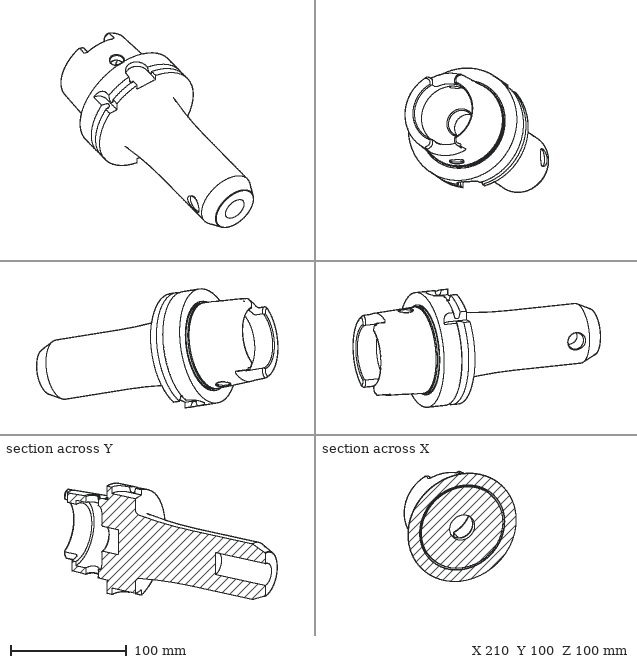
import cadquery as cq
import math


total_length = 210.0
flange_start = 50.0
flange_end = 79.0
neck_start = 83.0
neck_end = 133.8
nose_cone_start = 197.0

shank_front_radius = 35.5
shank_rear_radius = 37.8
flange_radius = 50.0
neck_radius = 29.6
nose_radius = 26.0
nose_tip_radius = 20.2
nose_tip_chamfer = 0.5
shank_front_fillet = 2.3

relief_start = 47.7
relief_end = 49.0
relief_depth = 0.32
face_recess_width = 1.3
face_recess_depth = 0.6

groove_center = 70.0
groove_top_width = 6.3
groove_bottom_width = 3.5
groove_depth = 4.2
groove_root_fillet = 1.3

cavity_mouth_radius = 26.5
cavity_mouth_length = 19.0
cavity_mouth_chamfer = 1.0
cavity_undercut_radius = 30.2
cavity_depth = 44.5
cavity_floor_fillet = 5.2
center_hole_radius = 11.3
center_hole_depth = 16.8
center_hole_chamfer = 1.0

drive_slot_half_width = 10.0
drive_slot_corner = 5.5
drive_slot_top = 32.1
drive_slot_floor_fillet = 2.0
drive_slot_mouth_chamfer = 1.9
drive_slot_mouth_angle = 45
upper_drive_slot_depth = 10.0
lower_drive_slot_depth = 14.7

pocket_start = 55.2
notch_corner = 7.8
keyway_corner = 9.7
keyway_width = 19.7
keyway_floor = 44.0
notch_wall = 31.3

cross_hole_diameter = 12.0
cross_hole_countersink_diameter = 13.5
cross_hole_position = 35.0
screw_hole_diameter = 14.5
screw_hole_position = 184.8
screw_countersink_diameter = 16.8
countersink_half_angle = 30
tool_bore_diameter = 20.0
tool_bore_depth = 50.5


def revolve_about_axis(profile):
    return profile.close().revolve(360, (0, 0, 0), (1, 0, 0))


def outer_body():
    neck_drop = neck_radius - nose_radius
    neck_span = neck_end - neck_start
    neck_arc_radius = (neck_span**2 + neck_drop**2) / (2 * neck_drop)
    half_span = neck_span / 2
    neck_mid_radius = nose_radius + neck_arc_radius - math.sqrt(neck_arc_radius**2 - half_span**2)

    root_fillet = neck_start - flange_end
    diagonal_gap = root_fillet * (1 - math.sqrt(0.5))
    profile = (
        cq.Workplane("XY")
        .lineTo(0, shank_front_radius)
        .lineTo(flange_start, shank_rear_radius)
        .lineTo(flange_start, flange_radius)
        .lineTo(flange_end, flange_radius)
        .lineTo(flange_end, neck_radius + root_fillet)
        .threePointArc(
            (flange_end + diagonal_gap, neck_radius + diagonal_gap),
            (neck_start, neck_radius),
        )
        .threePointArc((neck_start + half_span, neck_mid_radius), (neck_end, nose_radius))
        .lineTo(nose_cone_start, nose_radius)
        .lineTo(total_length, nose_tip_radius)
        .lineTo(total_length, 0)
    )
    body = revolve_about_axis(profile)
    body = body.faces("<X").edges().fillet(shank_front_fillet)
    return body.faces(">X").edges().chamfer(nose_tip_chamfer)


def ring(start, end, inner_radius, outer_radius):
    return (
        cq.Workplane("YZ", origin=(start, 0, 0))
        .circle(outer_radius)
        .circle(inner_radius)
        .extrude(end - start)
    )


def shank_relief():
    shank_groove = ring(relief_start, relief_end, shank_rear_radius - relief_depth, flange_radius)
    face_recess = ring(
        flange_start,
        flange_start + face_recess_depth,
        shank_rear_radius,
        shank_rear_radius + face_recess_width,
    )
    return shank_groove.union(face_recess)


def gripper_groove():
    root_radius = flange_radius - groove_depth
    profile = (
        cq.Workplane("XY")
        .moveTo(groove_center - groove_top_width / 2, flange_radius)
        .lineTo(groove_center - groove_bottom_width / 2, root_radius)
        .lineTo(groove_center + groove_bottom_width / 2, root_radius)
        .lineTo(groove_center + groove_top_width / 2, flange_radius)
    )
    groove = revolve_about_axis(profile)
    root_edges = cq.selectors.RadiusNthSelector(0)
    return groove.edges(root_edges).fillet(groove_root_fillet)


def cavity():
    """Cylindrical mouth, a wider undercut with a rounded floor, and a blind center hole."""
    fillet_start = cavity_depth - cavity_floor_fillet
    fillet_center_radius = cavity_undercut_radius - cavity_floor_fillet
    diagonal_reach = cavity_floor_fillet * math.sqrt(0.5)
    center_hole_end = cavity_depth + center_hole_depth
    profile = (
        cq.Workplane("XY")
        .lineTo(0, cavity_mouth_radius + cavity_mouth_chamfer)
        .lineTo(cavity_mouth_chamfer, cavity_mouth_radius)
        .lineTo(cavity_mouth_length, cavity_mouth_radius)
        .lineTo(cavity_mouth_length, cavity_undercut_radius)
        .lineTo(fillet_start, cavity_undercut_radius)
        .threePointArc(
            (fillet_start + diagonal_reach, fillet_center_radius + diagonal_reach),
            (cavity_depth, fillet_center_radius),
        )
        .lineTo(cavity_depth, center_hole_radius + center_hole_chamfer)
        .lineTo(cavity_depth + center_hole_chamfer, center_hole_radius)
        .lineTo(center_hole_end, center_hole_radius)
        .lineTo(center_hole_end, 0)
    )
    return revolve_about_axis(profile)


def drive_slot_outline(x):
    """Slot section at position x, flaring into a flat over the ends of the driving lugs."""
    corner_z = drive_slot_top - drive_slot_corner
    flare_y = drive_slot_half_width + drive_slot_corner
    arc_y = flare_y - drive_slot_corner * math.sqrt(0.5)
    arc_z = corner_z + drive_slot_corner * math.sqrt(0.5)
    return (
        cq.Workplane("YZ", origin=(x, 0, 0))
        .moveTo(-drive_slot_half_width, 0)
        .lineTo(-drive_slot_half_width, corner_z)
        .threePointArc((-arc_y, arc_z), (-flare_y, drive_slot_top))
        .lineTo(-flange_radius, drive_slot_top)
        .lineTo(-flange_radius, flange_radius)
        .lineTo(flange_radius, flange_radius)
        .lineTo(flange_radius, drive_slot_top)
        .lineTo(flare_y, drive_slot_top)
        .threePointArc((arc_y, arc_z), (drive_slot_half_width, corner_z))
        .lineTo(drive_slot_half_width, 0)
        .close()
    )


def drive_slot(depth):
    """Slot cutter with a rounded floor and a mouth that widens toward the open end."""
    slot = drive_slot_outline(0).extrude(depth).faces(">X").edges().fillet(drive_slot_floor_fillet)
    mouth = drive_slot_outline(drive_slot_mouth_chamfer).extrude(
        -drive_slot_mouth_chamfer, taper=-drive_slot_mouth_angle
    )
    return slot.union(mouth)


def flange_pocket(y_min, y_max, floor, corner):
    """Pocket milled along Z, open at the nose side of the flange."""
    length = flange_end - pocket_start
    return (
        cq.Workplane("XY", origin=(pocket_start, y_min, floor))
        .rect(length, y_max - y_min, centered=False)
        .extrude(flange_radius - floor)
        .edges("|Z and <X")
        .fillet(corner)
    )


def countersunk_hole(position, diameter, countersink_diameter, surface_radius):
    """Hole along Z from the axis up to the outer surface, with a countersink at the surface."""
    sink_depth = (countersink_diameter - diameter) / 2 / math.tan(math.radians(countersink_half_angle))
    hole = (
        cq.Workplane("XY", origin=(position, 0, 0))
        .circle(diameter / 2)
        .extrude(flange_radius)
    )
    countersink = (
        cq.Workplane("XY", origin=(position, 0, surface_radius))
        .circle(countersink_diameter / 2)
        .extrude(-sink_depth, taper=countersink_half_angle)
    )
    return hole.union(countersink)


def turn(cutter, angle):
    return cutter.rotate((0, 0, 0), (1, 0, 0), angle)


cross_hole_fraction = cross_hole_position / flange_start
shank_radius_at_cross_hole = (
    shank_front_radius + (shank_rear_radius - shank_front_radius) * cross_hole_fraction
)
cross_hole = countersunk_hole(
    cross_hole_position,
    cross_hole_diameter,
    cross_hole_countersink_diameter,
    shank_radius_at_cross_hole,
)
screw_hole = countersunk_hole(
    screw_hole_position,
    screw_hole_diameter,
    screw_countersink_diameter,
    nose_radius,
)
tool_bore = (
    cq.Workplane("YZ", origin=(total_length - tool_bore_depth, 0, 0))
    .circle(tool_bore_diameter / 2)
    .extrude(tool_bore_depth)
)
keyway = flange_pocket(-keyway_width / 2, keyway_width / 2, keyway_floor, keyway_corner)
notch = flange_pocket(-flange_radius - notch_corner, -notch_wall, notch_wall, notch_corner)

result = (
    outer_body()
    .cut(shank_relief())
    .cut(gripper_groove())
    .cut(cavity())
    .cut(drive_slot(upper_drive_slot_depth))
    .cut(turn(drive_slot(lower_drive_slot_depth), 180))
    .cut(notch)
    .cut(turn(screw_hole, 90))
    .cut(tool_bore)
)
for side_angle in (0, 180):
    result = result.cut(turn(keyway, side_angle)).cut(turn(cross_hole, side_angle))